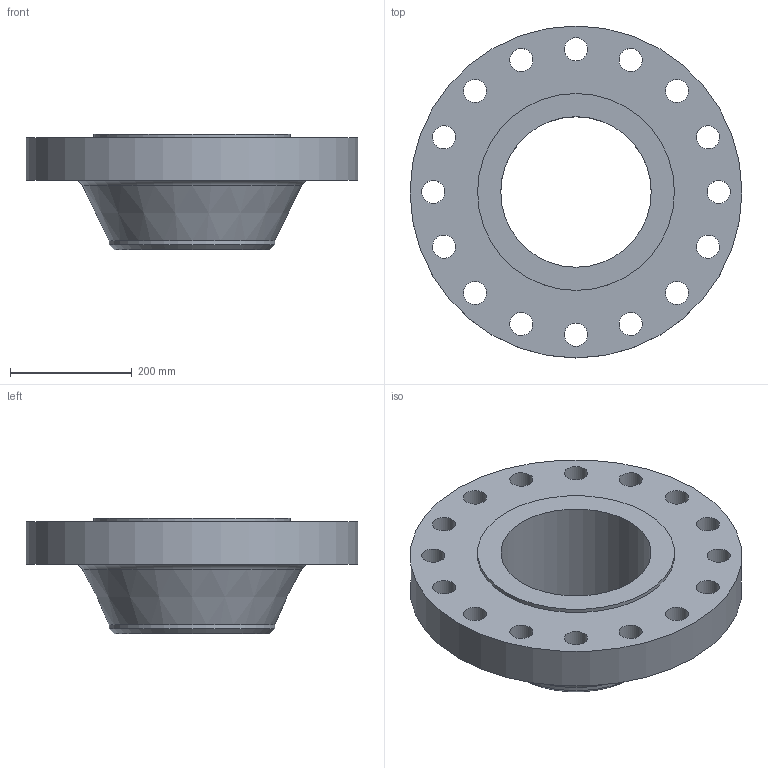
import cadquery as cq
import math


total_height = 190.5
flange_diameter = 546.1
flange_thickness = 69.85
raised_face_diameter = 323.85
raised_face_height = 6.35

bore_diameter = 247.65
hub_base_diameter = 368.3
neck_diameter = 273.05
neck_height = 6.3
bevel_height = 8.7
bevel_width = 8.7
hub_fillet_radius = 14.0

bolt_count = 16
bolt_circle_diameter = 469.9
bolt_hole_diameter = 38.1

flange_top = total_height - raised_face_height
flange_bottom = flange_top - flange_thickness
neck_top = bevel_height + neck_height

bore_radius = bore_diameter / 2
neck_radius = neck_diameter / 2
hub_base_radius = hub_base_diameter / 2
flange_radius = flange_diameter / 2
raised_face_radius = raised_face_diameter / 2


def hub_fillet_points():
    """Start, middle and end of the arc blending the cone into the underside of the flange."""
    cone_angle = math.atan2(hub_base_radius - neck_radius, flange_bottom - neck_top)
    center_offset = hub_fillet_radius * math.tan(math.pi / 4 - cone_angle / 2)
    center_radius = hub_base_radius + center_offset
    center_z = flange_bottom - hub_fillet_radius

    def arc_point(elevation):
        """Point on the arc, with elevation measured upward from the inward radial direction."""
        return (
            center_radius - hub_fillet_radius * math.cos(elevation),
            center_z + hub_fillet_radius * math.sin(elevation),
        )

    end_elevation = math.pi / 2
    middle_elevation = (cone_angle + end_elevation) / 2
    return arc_point(cone_angle), arc_point(middle_elevation), arc_point(end_elevation)


def make_body():
    """Half section in the XZ plane, revolved about the Z axis."""
    fillet_start, fillet_middle, fillet_end = hub_fillet_points()
    section = (
        cq.Workplane("XZ")
        .moveTo(bore_radius, 0)
        .lineTo(neck_radius - bevel_width, 0)
        .lineTo(neck_radius, bevel_height)
        .lineTo(neck_radius, neck_top)
        .lineTo(*fillet_start)
        .threePointArc(fillet_middle, fillet_end)
        .lineTo(flange_radius, flange_bottom)
        .lineTo(flange_radius, flange_top)
        .lineTo(raised_face_radius, flange_top)
        .lineTo(raised_face_radius, total_height)
        .lineTo(bore_radius, total_height)
        .close()
    )
    return section.revolve(360, (0, 0, 0), (0, 1, 0))


def make_bolt_holes():
    """Ring of cylinders through the flange disc, the first one on the +X axis."""
    return (
        cq.Workplane("XY")
        .workplane(offset=flange_bottom)
        .polarArray(bolt_circle_diameter / 2, 0, 360, bolt_count)
        .circle(bolt_hole_diameter / 2)
        .extrude(flange_thickness)
    )


result = make_body().cut(make_bolt_holes())